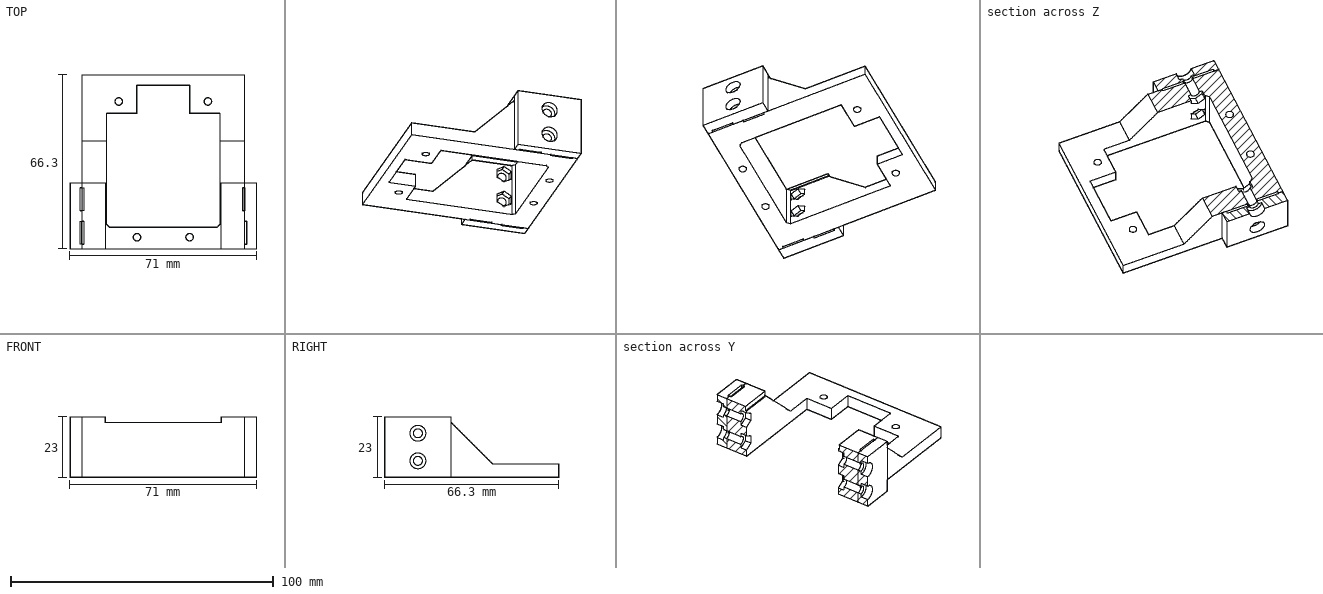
import cadquery as cq
import math

total_width = 71.0
total_length = 66.3
total_height = 23.0

frame_width = 62.0
half_frame = frame_width / 2
deck_thickness = 5.1
ledge_height = 20.95
block_length = 25.3
block_gap = 44.0
ramp_foot_y = block_length + ledge_height - deck_thickness

window_width = 43.2
window_front_y = 8.4
window_back_y = 51.7
window_chamfer = 1.15
notch_width = 20.1
notch_back_y = 62.35

mount_hole_diameter = 2.8
front_hole_x = 10.0
front_hole_y = 4.55
back_hole_x = 17.0
back_hole_y = 56.2

plate_thickness = (total_width - frame_width) / 2

screw_y = block_length / 2
screw_heights = (6.25, 16.75)
bore_diameter = 3.4
head_diameter = 6.0
head_depth = 3.0
nut_across_flats = 5.6
nut_depth = 2.55
web_thickness = 0.2
nut_floor_x = window_width / 2 + nut_depth
head_floor_x = total_width / 2 - head_depth

slot_length = 8.65
slot_depth = 0.7
slot_offset_y = 6.4
groove_radius = 0.6

LEFT, RIGHT = -1, 1


def slot_cutter(side, direction, middle_y):
    """Full-height slot beside a joint face, reaching along X in the given direction."""
    joint_x = side * half_frame
    return (
        cq.Workplane("XY")
        .center(joint_x + direction * slot_depth / 2, middle_y)
        .rect(slot_depth, slot_length)
        .extrude(total_height)
    )


def groove_cutter(side, direction, middle_y):
    """Shallow groove in the top face beside a joint, with a flat floor rounding up to the top."""
    joint_x = side * half_frame
    floor_z = total_height - groove_radius
    arc_start_x = joint_x + direction * (slot_depth - groove_radius)
    arc_mid = groove_radius * math.sqrt(0.5)
    return (
        cq.Workplane("XZ", origin=(0, middle_y, 0))
        .moveTo(joint_x, total_height)
        .lineTo(joint_x, floor_z)
        .lineTo(arc_start_x, floor_z)
        .threePointArc(
            (arc_start_x + direction * arc_mid, total_height - arc_mid),
            (joint_x + direction * slot_depth, total_height),
        )
        .close()
        .extrude(slot_length / 2, both=True)
    )


def cylinder_along_x(start_x, end_x, z, diameter):
    return (
        cq.Workplane("YZ", origin=(start_x, screw_y, z))
        .circle(diameter / 2)
        .extrude(end_x - start_x)
    )


def nut_pocket_cutter(side, z):
    """Hexagonal pocket open to the window, with two of its flats upright."""
    corner_radius = nut_across_flats / math.sqrt(3)
    angles = [math.radians(30 + 60 * corner) for corner in range(6)]
    corners = [(corner_radius * math.cos(a), corner_radius * math.sin(a)) for a in angles]
    return (
        cq.Workplane("YZ", origin=(side * window_width / 2, screw_y, z))
        .polyline(corners)
        .close()
        .extrude(side * nut_depth)
    )


def frame_slot_y(side):
    return screw_y + side * slot_offset_y


def plate_slot_y(side):
    return screw_y - side * slot_offset_y


def make_frame():
    frame = (
        cq.Workplane("YZ")
        .polyline([
            (0, 0),
            (total_length, 0),
            (total_length, deck_thickness),
            (ramp_foot_y, deck_thickness),
            (block_length, ledge_height),
            (block_length, total_height),
            (0, total_height),
        ])
        .close()
        .extrude(half_frame, both=True)
    )

    frame = frame.cut(
        cq.Workplane("XY", origin=(0, 0, ledge_height))
        .rect(block_gap, 2 * block_length)
        .extrude(total_height - ledge_height)
    )

    window = (
        cq.Workplane("XY", origin=(0, (window_front_y + window_back_y) / 2, 0))
        .rect(window_width, window_back_y - window_front_y)
        .extrude(total_height)
        .edges("|Z and <Y")
        .chamfer(window_chamfer)
    )
    notch = (
        cq.Workplane("XY", origin=(0, (window_front_y + notch_back_y) / 2, 0))
        .rect(notch_width, notch_back_y - window_front_y)
        .extrude(total_height)
    )
    frame = frame.cut(window).cut(notch)

    mount_points = []
    for side in (LEFT, RIGHT):
        mount_points.append((side * front_hole_x, front_hole_y))
        mount_points.append((side * back_hole_x, back_hole_y))
    frame = frame.cut(
        cq.Workplane("XY")
        .pushPoints(mount_points)
        .circle(mount_hole_diameter / 2)
        .extrude(total_height)
    )

    for side in (LEFT, RIGHT):
        for z in screw_heights:
            bore_start = side * (nut_floor_x + web_thickness)
            frame = frame.cut(cylinder_along_x(bore_start, side * half_frame, z, bore_diameter))
            frame = frame.cut(nut_pocket_cutter(side, z))
        frame = frame.cut(slot_cutter(side, -side, frame_slot_y(side)))

    return frame.cut(groove_cutter(LEFT, -LEFT, plate_slot_y(LEFT)))


def make_side_plate(side):
    plate = (
        cq.Workplane("XY")
        .center(side * (half_frame + plate_thickness / 2), screw_y)
        .rect(plate_thickness, block_length)
        .extrude(total_height)
    )
    for z in screw_heights:
        bore_end = side * (head_floor_x - web_thickness)
        plate = plate.cut(cylinder_along_x(side * half_frame, bore_end, z, bore_diameter))
        plate = plate.cut(
            cylinder_along_x(side * head_floor_x, side * total_width / 2, z, head_diameter)
        )
    plate = plate.cut(slot_cutter(side, side, plate_slot_y(side)))

    if side == LEFT:
        plate = plate.cut(groove_cutter(side, side, frame_slot_y(side)))
    return plate


frame = make_frame()
side_plates = [make_side_plate(side) for side in (LEFT, RIGHT)]

result = cq.Compound.makeCompound([frame.val(), *[plate.val() for plate in side_plates]])